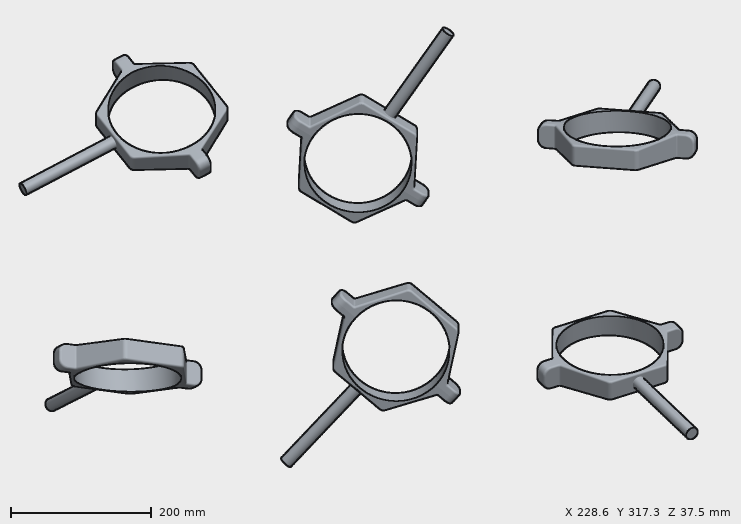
import cadquery as cq
import math

INCH = 25.4

hex_half_flats = 82.425
hex_half_flat_length = 47.2
hex_side_slope = math.tan(math.radians(60))
hex_half_points = hex_half_flat_length + hex_half_flats / hex_side_slope
hex_corner_radius = 0.3125 * INCH
bore_diameter = 6.0 * INCH

height_at_flats = 1.25 * INCH
taper_angle = 2.0
height_at_ridge = height_at_flats + 2 * hex_half_flats * math.tan(math.radians(taper_angle))

overall_length = 9.0 * INCH
lug_width = 0.85 * INCH
lug_corner_radius = 0.5 * INCH
lug_root_radius = 0.125 * INCH

rim_radius = 0.125 * INCH

rod_diameter = 0.75 * INCH
rod_length = 6.0 * INCH
rod_base_radius = 0.02 * INCH


def make_hexagon():
    """Hexagonal prism with its flats at +Y and -Y and rounded corners beside them."""
    corners = [
        (hex_half_points, 0),
        (hex_half_flat_length, hex_half_flats),
        (-hex_half_flat_length, hex_half_flats),
        (-hex_half_points, 0),
        (-hex_half_flat_length, -hex_half_flats),
        (hex_half_flat_length, -hex_half_flats),
    ]
    hexagon = cq.Workplane("XY").polyline(corners).close().extrude(height_at_ridge / 2, both=True)
    return hexagon.edges("|Z").edges("<Y or >Y").fillet(hex_corner_radius)


def make_lug_bar():
    """Straight bar along X whose ends form the two lugs."""
    return cq.Workplane("XY").box(overall_length, lug_width, height_at_ridge)


def make_tapered_envelope():
    """Prism along X, highest on the ridge at Y = 0 and lowest at the flats."""
    ridge = height_at_ridge / 2
    side = height_at_flats / 2
    return (
        cq.Workplane("YZ")
        .moveTo(0, ridge)
        .lineTo(hex_half_flats, side)
        .lineTo(hex_half_flats, -side)
        .lineTo(0, -ridge)
        .lineTo(-hex_half_flats, -side)
        .lineTo(-hex_half_flats, side)
        .close()
        .extrude(overall_length / 2, both=True)
    )


def round_lug_roots(body):
    """Fillet the four inside corners where the lugs leave the slanted hexagon sides."""
    root_x = hex_half_points - lug_width / 2 / hex_side_slope
    for x in (-root_x, root_x):
        for y in (-lug_width / 2, lug_width / 2):
            root_edge = body.edges(cq.selectors.NearestToPointSelector((x, y, 0)))
            body = root_edge.fillet(lug_root_radius)
    return body


def round_lug_ends(body):
    """Round the top and bottom edges of both lug end faces."""
    end_edges = body.faces("<X or >X").edges("not |Z")
    return end_edges.fillet(lug_corner_radius)


def round_rims(body):
    """Round the whole top and bottom outer rims.

    The edges of the two flats are picked, and the fillet follows the tangent rim from there.
    """
    return body.faces("<Y or >Y").edges("not |Z").fillet(rim_radius)


def make_rod():
    """Round handle rod, from the -Y flat outward."""
    base_plane = cq.Workplane("XZ", origin=(0, -hex_half_flats, 0))
    return base_plane.circle(rod_diameter / 2).extrude(rod_length)


def round_rod_base(body):
    """Small fillet where the rod meets the -Y flat."""
    base_edge = cq.selectors.BoxSelector(
        (-rod_diameter, -hex_half_flats - rod_base_radius, -rod_diameter),
        (rod_diameter, -hex_half_flats + rod_base_radius, rod_diameter),
    )
    return body.edges("%CIRCLE").edges(base_edge).fillet(rod_base_radius)


body = make_hexagon().union(make_lug_bar())
body = round_lug_roots(body)
body = body.intersect(make_tapered_envelope())
body = round_lug_ends(body)
body = round_rims(body)
bore = cq.Workplane("XY").circle(bore_diameter / 2).extrude(height_at_ridge, both=True)
body = body.cut(bore)
body = body.union(make_rod())
result = round_rod_base(body)